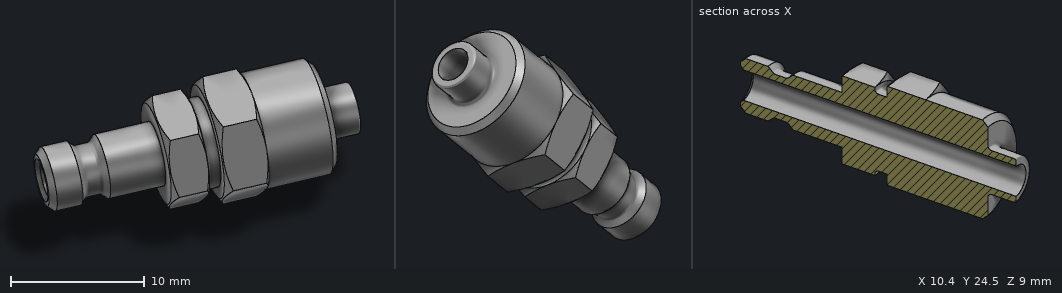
import cadquery as cq
import math

total_length = 24.5

plug_radius = 2.5
plug_chamfer = 0.5
groove_radius = 2.0
groove_start = 2.5
groove_end = 4.68
groove_corner_fillet = 0.3

front_hex_start = 9.0
front_hex_end = 11.98
front_hex_flats = 8.0

neck_radius = 3.5
neck_fillet = 0.3

rear_hex_start = 13.0
rear_hex_end = 16.5
rear_hex_flats = 9.0
sleeve_end = 22.0
sleeve_radius = rear_hex_flats / 2
sleeve_chamfer = 0.5

tip_radius = 2.0
tip_base_fillet = 0.35
tip_end_fillet = 0.2

bore_radius = 1.35
bore_mouth_radius = 1.67

hex_bevel_angle = 30.0
front_bevel_ratio = 0.975


def revolve_profile(points):
    """Turn a closed (radius, Y) outline about the Y axis."""
    return cq.Workplane("XY").polyline(points).close().revolve(360, (0, 0, 0), (0, 1, 0))


def cylinder(radius, start, end):
    return revolve_profile([(0, start), (radius, start), (radius, end), (0, end)])


def root_fillet(radius, shoulder, size):
    """Ring filling the corner of a shaft and a shoulder that faces +Y."""
    centre_y = shoulder + size
    mid_offset = size * math.sqrt(0.5)
    return (
        cq.Workplane("XY")
        .moveTo(radius, shoulder)
        .lineTo(radius + size, shoulder)
        .threePointArc(
            (radius + size - mid_offset, centre_y - mid_offset),
            (radius, centre_y),
        )
        .close()
        .revolve(360, (0, 0, 0), (0, 1, 0))
    )


def bevelled_hexagon(flats, start, end):
    """Hexagon with corners on +X and -X, bevelled at both ends by cones."""
    inscribed = flats / 2
    corner = inscribed / math.cos(math.pi / 6)
    slope = math.tan(math.radians(hex_bevel_angle))
    front_circle = inscribed * front_bevel_ratio
    rear_circle = inscribed
    prism = (
        cq.Workplane("XZ", origin=(0, start, 0))
        .polygon(6, 2 * corner)
        .extrude(start - end)
    )
    envelope = revolve_profile([
        (0, start),
        (front_circle, start),
        (corner, start + (corner - front_circle) * slope),
        (corner, end - (corner - rear_circle) * slope),
        (rear_circle, end),
        (0, end),
    ])
    return prism.intersect(envelope)


def grooved_plug():
    """Plug whose groove has 45 degree flanks blended into its floor."""
    flank = plug_radius - groove_radius
    floor_start = groove_start + flank
    floor_end = groove_end - flank
    plug = revolve_profile([
        (0, 0),
        (plug_radius - plug_chamfer, 0),
        (plug_radius, plug_chamfer),
        (plug_radius, groove_start),
        (groove_radius, floor_start),
        (groove_radius, floor_end),
        (plug_radius, groove_end),
        (plug_radius, front_hex_start),
        (0, front_hex_start),
    ])
    selection_margin = 0.02
    floor_edges = cq.selectors.BoxSelector(
        (-plug_radius, floor_start - selection_margin, -plug_radius),
        (plug_radius, floor_end + selection_margin, plug_radius),
        boundingbox=True,
    )
    return plug.edges(floor_edges).edges("%CIRCLE").fillet(groove_corner_fillet)


def rear_tip():
    tip = cylinder(tip_radius, sleeve_end, total_length)
    return tip.faces(">Y").edges().fillet(tip_end_fillet)


def bore():
    """Through bore with a 45 degree countersink at the plug end."""
    return revolve_profile([
        (0, 0),
        (bore_mouth_radius, 0),
        (bore_radius, bore_mouth_radius - bore_radius),
        (bore_radius, total_length),
        (0, total_length),
    ])


sleeve = cylinder(sleeve_radius, rear_hex_end, sleeve_end).faces(">Y").edges().chamfer(sleeve_chamfer)

result = (
    grooved_plug()
    .union(bevelled_hexagon(front_hex_flats, front_hex_start, front_hex_end))
    .union(cylinder(neck_radius, front_hex_end, rear_hex_start))
    .union(root_fillet(neck_radius, front_hex_end, neck_fillet))
    .union(bevelled_hexagon(rear_hex_flats, rear_hex_start, rear_hex_end))
    .union(sleeve)
    .union(rear_tip())
    .union(root_fillet(tip_radius, sleeve_end, tip_base_fillet))
    .cut(bore())
)